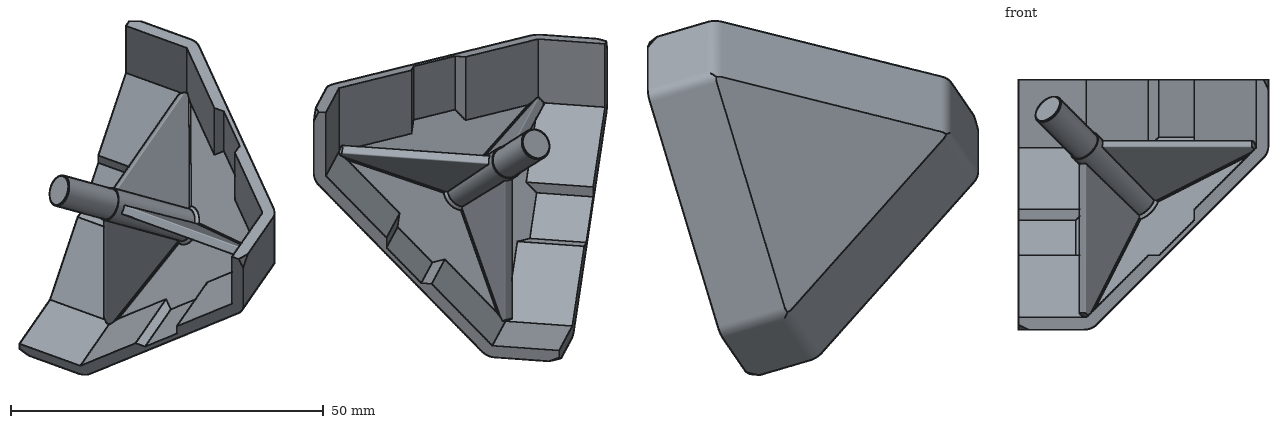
import cadquery as cq
import math


ROOT_2 = math.sqrt(2)
ROOT_3 = math.sqrt(3)

cube_side = 40.0
wall = 2.0
bevel_distance = 20.0
bevel_edge_radius = 2.9
tip_cylinder_radius = 32.0

recess_web = 0.8
recess_width = 8.0

shank_radius = 2.7
shank_height = 16.2
pin_radius = 2.5
pin_height = 10.2
pin_chamfer = 0.15
post_foot = 0.5

rib_top_width = 1.5
rib_end_height = 1.2
rib_draft = 1.0
rib_edge_radius = 0.2
rib_foot = 0.2

foot_slope = 45
turn_angle = 120

outer_leg = bevel_distance * ROOT_2
inner_leg = (bevel_distance + wall) * ROOT_2
recess_leg = (bevel_distance + recess_web) * ROOT_2
inner_corner = inner_leg - wall

outer_floor = 2 * outer_leg / ROOT_3
inner_floor = (2 * inner_corner + wall) / ROOT_3

rib_length = (inner_corner - wall) * ROOT_2 / ROOT_3

diagonal = cq.Vector(-1, -1, 1)
rib_direction = cq.Vector(2, -1, 1)
large = 2 * cube_side


def diagonal_plane(distance):
    """Plane square to the cube diagonal, with X pointing along one rib."""
    return cq.Plane(
        origin=(diagonal.normalized() * distance).toTuple(),
        xDir=rib_direction.toTuple(),
        normal=diagonal.toTuple(),
    )


def around_diagonal(body, turn):
    return body.rotate((0, 0, 0), diagonal.toTuple(), turn_angle * turn)


def three_times(body):
    return [around_diagonal(body, turn) for turn in range(360 // turn_angle)]


def above_floor(distance):
    return cq.Workplane(diagonal_plane(distance)).rect(2 * large, 2 * large).extrude(large)


def bevelled_prism(inset, leg, far_side):
    """Square prism along Z whose edge nearest the Z axis is bevelled."""
    outline = [
        (-leg + inset, -inset),
        (-far_side, -inset),
        (-far_side, -far_side),
        (-inset, -far_side),
        (-inset, -leg + inset),
    ]
    return cq.Workplane("XY").polyline(outline).close().extrude(far_side)


def make_outside():
    prism = bevelled_prism(0, outer_leg, cube_side)
    for x, y in ((-outer_leg, 0), (0, -outer_leg)):
        corner = cq.selectors.NearestToPointSelector((x, y, cube_side / 2))
        prism = prism.edges(corner).fillet(bevel_edge_radius)
    body = above_floor(outer_floor)
    for side in three_times(prism):
        body = body.intersect(side)
    tip_cylinder = cq.Workplane(diagonal_plane(0)).circle(tip_cylinder_radius).extrude(large)
    return body.intersect(tip_cylinder)


def make_recess():
    """Pocket in the vertical bevel; its end walls are parallel to X and Y."""
    near = (recess_leg - recess_width / ROOT_2) / 2
    far = recess_leg - near
    outline = [(-near, -far), (-far, -near), (-far - wall, -near), (-near, -far - wall)]
    return cq.Workplane("XY").polyline(outline).close().extrude(large)


def make_cavity():
    body = above_floor(inner_floor)
    for side in three_times(bevelled_prism(wall, inner_leg, large)):
        body = body.intersect(side)
    for recess in three_times(make_recess()):
        body = body.union(recess.intersect(above_floor(inner_floor)))
    return body


def make_post():
    base = cq.Workplane(diagonal_plane(inner_floor))
    foot = base.circle(shank_radius + post_foot).extrude(post_foot, taper=foot_slope)
    shank = base.circle(shank_radius).extrude(shank_height)
    pin = (
        base.workplane(offset=shank_height)
        .circle(pin_radius)
        .extrude(pin_height)
        .faces(cq.selectors.DirectionMinMaxSelector(diagonal))
        .chamfer(pin_chamfer)
    )
    return foot.union(shank).union(pin)


def make_rib():
    crest_slope = 1 / ROOT_2
    axis_height = rib_end_height + rib_length * crest_slope
    crest_depth = axis_height * math.cos(math.atan(crest_slope))
    half_top = rib_top_width / 2
    half_root = half_top + crest_depth * math.tan(math.radians(rib_draft))

    crest_level = (inner_floor + axis_height) / ROOT_3
    section_plane = cq.Plane(
        origin=(-crest_level, -crest_level, crest_level), xDir=(0, 1, 1), normal=(1, 0, 0)
    )
    section = [
        (-half_top, 0),
        (half_top, 0),
        (half_root, -crest_depth),
        (-half_root, -crest_depth),
    ]
    blade = cq.Workplane(section_plane).polyline(section).close().extrude(crest_level)
    for side in (-half_top, half_top):
        middle = section_plane.toWorldCoords((side, 0, crest_level / 2))
        edge = cq.selectors.NearestToPointSelector(middle.toTuple())
        blade = blade.edges(edge).fillet(rib_edge_radius)

    half_tip = half_top + (half_root - half_top) * rib_end_height / axis_height
    foot_outline = [
        (0, -half_root - rib_foot),
        (rib_length, -half_tip - rib_foot),
        (rib_length, half_tip + rib_foot),
        (0, half_root + rib_foot),
    ]
    base = cq.Workplane(diagonal_plane(inner_floor))
    foot = base.polyline(foot_outline).close().extrude(rib_foot, taper=foot_slope)

    envelope = base.center(rib_length / 2, 0).rect(rib_length, large).extrude(axis_height)
    return blade.union(foot).intersect(envelope)


result = make_outside().cut(make_cavity()).union(make_post())
for rib in three_times(make_rib()):
    result = result.union(rib)